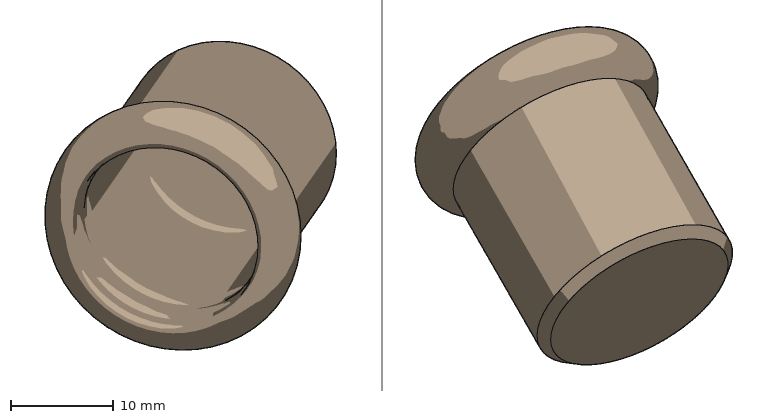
import cadquery as cq
import math

length = 26.0
body_radius = 21.3 / 2
end_chamfer = 1.0

bead_outer_radius = 25.71 / 2
bead_section_radius = 3.35
bead_centre_radius = bead_outer_radius - bead_section_radius

mouth_radius = 18.7 / 2
lip_round = 0.68
bore_radius = 18.3 / 2
wall = body_radius - bore_radius
floor_y = length - wall
floor_fillet = 0.8

ridge_start_y = 1.95
ridge_width = 2.7
land_width = 1.0

shoulder_length = 1.05


def bead_depth(radius):
    """Distance along Y from the bead centre to its surface at a radius."""
    return math.sqrt(bead_section_radius**2 - (radius - bead_centre_radius) ** 2)


lip_edge_radius = mouth_radius + lip_round
bead_centre_y = bead_depth(lip_edge_radius)
bead_end_y = bead_centre_y + bead_depth(body_radius)

corner_factor = 1 - math.sqrt(0.5)
lip_offset = lip_round * corner_factor
floor_offset = floor_fillet * corner_factor

ridge_mid_y = ridge_start_y + ridge_width / 2
ridge_end_y = ridge_start_y + ridge_width
shoulder_y = ridge_end_y + land_width
bore_start_y = shoulder_y + shoulder_length

half_section = (
    cq.Workplane("XY")
    .moveTo(lip_edge_radius, 0)
    .threePointArc((bead_outer_radius, bead_centre_y), (body_radius, bead_end_y))
    .lineTo(body_radius, length - end_chamfer)
    .lineTo(body_radius - end_chamfer, length)
    .lineTo(0, length)
    .lineTo(0, floor_y)
    .lineTo(bore_radius - floor_fillet, floor_y)
    .threePointArc(
        (bore_radius - floor_offset, floor_y - floor_offset),
        (bore_radius, floor_y - floor_fillet),
    )
    .lineTo(bore_radius, bore_start_y)
    .tangentArcPoint((mouth_radius, shoulder_y), relative=False)
    .lineTo(mouth_radius, ridge_end_y)
    .threePointArc((bore_radius, ridge_mid_y), (mouth_radius, ridge_start_y))
    .lineTo(mouth_radius, lip_round)
    .threePointArc((mouth_radius + lip_offset, lip_offset), (lip_edge_radius, 0))
    .close()
)

result = half_section.revolve(360, (0, 0, 0), (0, 1, 0))